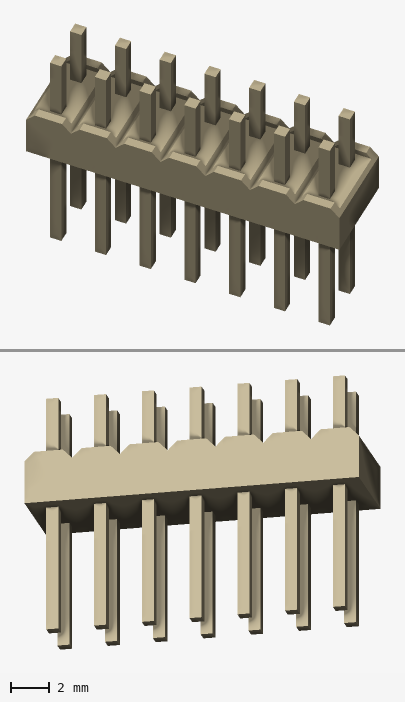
import cadquery as cq

columns = 7
rows = 2
housing_length = 17.78
pitch = housing_length / columns

housing_width = 5.0
housing_height = 2.8
bevel = 0.5
rim_thickness = 0.5
recess_depth = 0.3

pin_side = 0.64
pin_above = 3.2
pin_below = 6.7
pin_length = pin_below + housing_height + pin_above


def make_housing():
    """Extrude the bevelled column profile along Y and recess its middle strip."""
    shoulder_height = housing_height - bevel
    start_x = -housing_length / 2
    outline = [(start_x, 0)]
    for column in range(columns):
        left = start_x + column * pitch
        right = left + pitch
        outline.append((left, shoulder_height))
        outline.append((left + bevel, housing_height))
        outline.append((right - bevel, housing_height))
    outline.append((start_x + housing_length, shoulder_height))
    outline.append((start_x + housing_length, 0))
    block = cq.Workplane("XZ").polyline(outline).close().extrude(housing_width / 2, both=True)

    recess_width = housing_width - 2 * rim_thickness
    recess = (
        cq.Workplane("XY")
        .workplane(offset=housing_height - recess_depth)
        .rect(housing_length, recess_width)
        .extrude(recess_depth)
    )
    return block.cut(recess)


def make_pins():
    """Square pins on a pitch grid, passing right through the housing."""
    return (
        cq.Workplane("XY")
        .workplane(offset=-pin_below)
        .rarray(pitch, pitch, columns, rows)
        .rect(pin_side, pin_side)
        .extrude(pin_length)
    )


result = make_housing().union(make_pins())